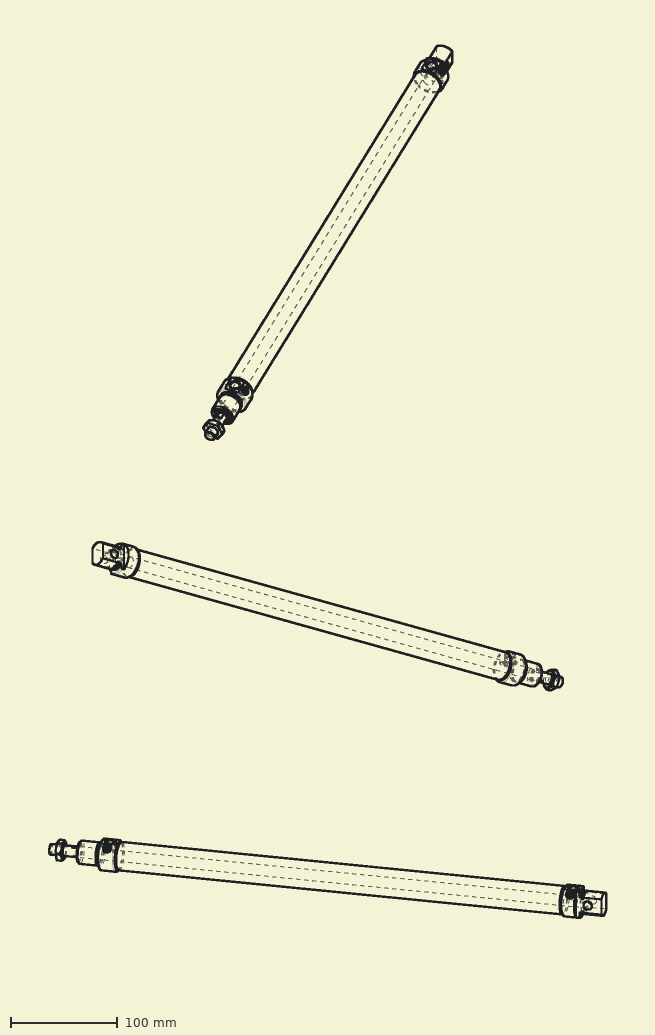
import cadquery as cq
import math

TOTAL_LENGTH = 540.0
REAR_END = TOTAL_LENGTH / 2
ROD_TIP = -TOTAL_LENGTH / 2

TUBE_DIAMETER = 27.0
HEAD_DIAMETER = 30.0
HEAD_LENGTH = 16.0
HEAD_EDGE_FILLET = 1.35
PORT_FLAT_HEIGHT = 13.5
TUBE_GROOVE_DIAMETER = 26.5
TUBE_GROOVE_LENGTH = 1.5

COLLAR_DIAMETER = 22.0
COLLAR_LENGTH = 22.0
COLLAR_CHAMFER = 1.5
FRONT_GROOVE_DIAMETER = 21.0
FRONT_GROOVE_SETBACK = 1.5
FRONT_GROOVE_LENGTH = 1.5
SEAL_OUTER_DIAMETER = 14.0
SEAL_INNER_DIAMETER = 13.0
SEAL_RECESS_DEPTH = 1.0

TANG_LENGTH = 21.5
TANG_THICKNESS = 16.0
TANG_CUT_LENGTH = 25.0
TANG_HOLE_DIAMETER = 8.0
TANG_HOLE_SETBACK = 13.5
REAR_GROOVE_DIAMETER = 20.5
REAR_GROOVE_SETBACK = 18.0
REAR_GROOVE_LENGTH = 1.5

PORT_DIAMETER = 8.5
PORT_RIM_DIAMETER = 10.0
PORT_RIM_DEPTH = 0.5
SCREW_ANGLE = 45.0
SCREW_RECESS_DIAMETER = 8.0
SCREW_RECESS_DEPTH = 2.5
SCREW_DIAMETER = 3.5
SCREW_LENGTH = 5.5
SCREW_SOCKET_DIAMETER = 1.8
SCREW_SOCKET_DEPTH = 1.5

ROD_DIAMETER = 10.0
ROD_EXPOSED_LENGTH = 28.0
ROD_TIP_CHAMFER = 0.5
ROD_FLAT_WIDTH = 9.0
ROD_FLAT_LENGTH = 6.5

NUT_WIDTH = 17.5
NUT_THICKNESS = 6.0
NUT_SETBACK = 7.5
NUT_FACE_DIAMETER = 16.0
NUT_CHAMFER_LENGTH = 1.5

REAR_HEAD_BACK = REAR_END - TANG_LENGTH
REAR_HEAD_FRONT = REAR_HEAD_BACK - HEAD_LENGTH
COLLAR_FACE = ROD_TIP + ROD_EXPOSED_LENGTH
FRONT_HEAD_FRONT = COLLAR_FACE + COLLAR_LENGTH
FRONT_HEAD_BACK = FRONT_HEAD_FRONT + HEAD_LENGTH
PORT_STATIONS = [FRONT_HEAD_FRONT + HEAD_LENGTH / 2, REAR_HEAD_BACK - HEAD_LENGTH / 2]

HEAD_RADIUS = HEAD_DIAMETER / 2
SCREW_RECESS_FLOOR = HEAD_RADIUS - SCREW_RECESS_DEPTH
SCREW_TOP = HEAD_RADIUS - SCREW_RECESS_DEPTH / 2
SCREW_BOTTOM = SCREW_TOP - SCREW_LENGTH


def axial_cylinder(diameter, start, end):
    """Cylinder on the Y axis between two stations, start < end."""
    return cq.Workplane("XZ", origin=(0, end, 0)).circle(diameter / 2).extrude(end - start)


def axial_ring(outer_diameter, inner_diameter, start, end):
    """Ring around the Y axis between two stations, start < end."""
    return axial_cylinder(outer_diameter, start, end).cut(axial_cylinder(inner_diameter, start, end))


def radial_cylinder(diameter, station, angle, inner, outer):
    """Cylinder between two heights above the Y axis, tilted from +Z towards +X."""
    upright = cq.Workplane("XY").workplane(offset=inner).circle(diameter / 2).extrude(outer - inner)
    return upright.rotate((0, 0, 0), (0, 1, 0), angle).translate((0, station, 0))


def make_head(start, end):
    """Round head with filleted ends and a flat seat for the port on top."""
    head = axial_cylinder(HEAD_DIAMETER, start, end).edges("%CIRCLE").fillet(HEAD_EDGE_FILLET)
    above_flat = cq.Workplane("XY").box(HEAD_DIAMETER, end - start, HEAD_RADIUS, (True, False, False))
    return head.cut(above_flat.translate((0, start, PORT_FLAT_HEIGHT)))


def make_tube():
    """Tube with a groove next to each head."""
    tube = axial_cylinder(TUBE_DIAMETER, FRONT_HEAD_BACK, REAR_HEAD_FRONT)
    for groove_start in (FRONT_HEAD_BACK, REAR_HEAD_FRONT - TUBE_GROOVE_LENGTH):
        groove_end = groove_start + TUBE_GROOVE_LENGTH
        tube = tube.cut(axial_ring(TUBE_DIAMETER, TUBE_GROOVE_DIAMETER, groove_start, groove_end))
    return tube


def make_collar():
    """Front collar with a groove near its root and a ring-shaped seal recess in its face."""
    collar = axial_cylinder(COLLAR_DIAMETER, COLLAR_FACE, FRONT_HEAD_FRONT)
    collar = collar.faces("<Y").chamfer(COLLAR_CHAMFER)
    groove_end = FRONT_HEAD_FRONT - FRONT_GROOVE_SETBACK
    groove_start = groove_end - FRONT_GROOVE_LENGTH
    collar = collar.cut(axial_ring(COLLAR_DIAMETER, FRONT_GROOVE_DIAMETER, groove_start, groove_end))
    recess_end = COLLAR_FACE + SEAL_RECESS_DEPTH
    return collar.cut(axial_ring(SEAL_OUTER_DIAMETER, SEAL_INNER_DIAMETER, COLLAR_FACE, recess_end))


def make_tang():
    """Round tang with a groove near its root and a cross hole."""
    tang = axial_cylinder(COLLAR_DIAMETER, REAR_HEAD_BACK, REAR_END)
    groove_end = REAR_END - REAR_GROOVE_SETBACK
    groove_start = groove_end - REAR_GROOVE_LENGTH
    tang = tang.cut(axial_ring(COLLAR_DIAMETER, REAR_GROOVE_DIAMETER, groove_start, groove_end))
    hole = cq.Workplane("YZ", origin=(0, REAR_END - TANG_HOLE_SETBACK, 0)).circle(TANG_HOLE_DIAMETER / 2)
    return tang.cut(hole.extrude(COLLAR_DIAMETER, both=True))


def tang_side_cut(side):
    """Block that mills one side of the tang flat; side is -1 or 1."""
    block = cq.Workplane("XY").box(HEAD_DIAMETER, TANG_CUT_LENGTH, HEAD_DIAMETER)
    center_x = side * (TANG_THICKNESS + HEAD_DIAMETER) / 2
    return block.translate((center_x, REAR_END - TANG_CUT_LENGTH / 2, 0))


def port_cut(station):
    """Port down to the bore, with a shallow wider rim."""
    port = radial_cylinder(PORT_DIAMETER, station, 0, 0, HEAD_RADIUS)
    rim_floor = PORT_FLAT_HEIGHT - PORT_RIM_DEPTH
    return port.union(radial_cylinder(PORT_RIM_DIAMETER, station, 0, rim_floor, HEAD_RADIUS))


def screw_cut(station):
    """Hole that holds a cushion screw, with a round recess around its top."""
    hole = radial_cylinder(SCREW_DIAMETER, station, SCREW_ANGLE, SCREW_BOTTOM, HEAD_RADIUS)
    recess = radial_cylinder(SCREW_RECESS_DIAMETER, station, SCREW_ANGLE, SCREW_RECESS_FLOOR, HEAD_RADIUS)
    return hole.union(recess)


def make_housing():
    body = make_tube()
    body = body.union(make_head(FRONT_HEAD_FRONT, FRONT_HEAD_BACK))
    body = body.union(make_head(REAR_HEAD_FRONT, REAR_HEAD_BACK))
    body = body.union(make_collar()).union(make_tang())
    for side in (-1, 1):
        body = body.cut(tang_side_cut(side))
    bore_end = REAR_HEAD_BACK - HEAD_LENGTH / 2 + PORT_RIM_DIAMETER / 2
    body = body.cut(axial_cylinder(ROD_DIAMETER, COLLAR_FACE, bore_end))
    for station in PORT_STATIONS:
        body = body.cut(port_cut(station)).cut(screw_cut(station))
    return body


def make_rod():
    """Rod that ends short of the rear port, with two wrench flats in front of the collar."""
    rod = axial_cylinder(ROD_DIAMETER, ROD_TIP, REAR_HEAD_FRONT)
    rod = rod.faces("<Y").chamfer(ROD_TIP_CHAMFER)
    for side in (-1, 1):
        block = cq.Workplane("XY").box(ROD_DIAMETER, ROD_FLAT_LENGTH, ROD_DIAMETER)
        center_z = side * (ROD_FLAT_WIDTH + ROD_DIAMETER) / 2
        rod = rod.cut(block.translate((0, COLLAR_FACE - ROD_FLAT_LENGTH / 2, center_z)))
    return rod


def make_nut():
    """Hexagonal nut with two flats facing up and down and its rear corners turned to a cone."""
    corner_diameter = NUT_WIDTH / math.cos(math.pi / 6)
    front = ROD_TIP + NUT_SETBACK
    back = front + NUT_THICKNESS
    hexagon = cq.Workplane("XZ", origin=(0, back, 0)).polygon(6, corner_diameter).extrude(NUT_THICKNESS)
    turned = (
        cq.Workplane("XY")
        .moveTo(0, front)
        .lineTo(corner_diameter / 2, front)
        .lineTo(corner_diameter / 2, back - NUT_CHAMFER_LENGTH)
        .lineTo(NUT_FACE_DIAMETER / 2, back)
        .lineTo(0, back)
        .close()
        .revolve(360, (0, 0, 0), (0, 1, 0))
    )
    return hexagon.intersect(turned).cut(axial_cylinder(ROD_DIAMETER, front, back))


def make_screw(station):
    """Cushion screw with a round socket in its top."""
    screw = radial_cylinder(SCREW_DIAMETER, station, SCREW_ANGLE, SCREW_BOTTOM, SCREW_TOP)
    socket_floor = SCREW_TOP - SCREW_SOCKET_DEPTH
    return screw.cut(radial_cylinder(SCREW_SOCKET_DIAMETER, station, SCREW_ANGLE, socket_floor, SCREW_TOP))


housing = make_housing()
rod = make_rod()
nut = make_nut()
screws = [make_screw(station) for station in PORT_STATIONS]

result = cq.Compound.makeCompound([housing.val(), rod.val(), nut.val(), *[screw.val() for screw in screws]])